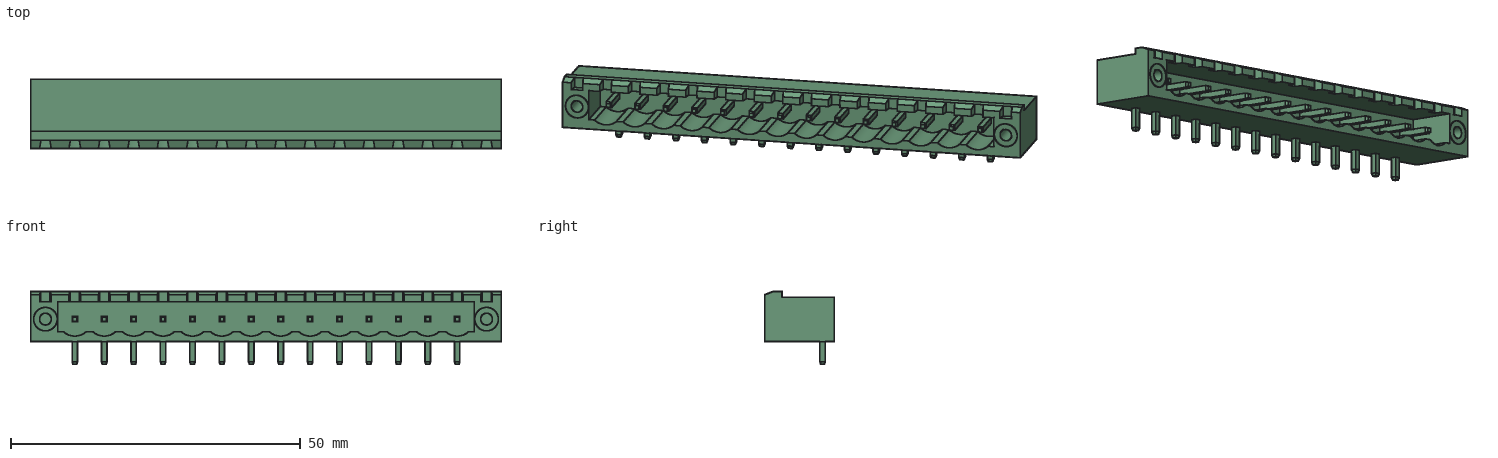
import cadquery as cq

length = 81.3
depth = 12.0
total_height = 12.6
body_height = 8.7
shoulder_height = 7.7
rim_depth = 3.0
rim_bevel_run = 1.5
rim_bevel_drop = 0.6

pin_count = 14
screw_count = 2
position_count = pin_count + screw_count
screw_spacing = 76.2
pitch = screw_spacing / (position_count - 1)
axis_height = 3.9

cavity_length = 71.9
cavity_depth = 8.5
cavity_floor = 1.7
cavity_roof = 6.9
scallop_radius = 2.9

slot_front_width = 2.0
slot_back_width = 1.55

hole_diameter = 2.0
hole_depth = cavity_depth
insert_diameter = 4.1
insert_recess = 0.1

pin_size = 1.0
pin_tip_length = 0.5
pin_tip_size = 0.65
pin_front = 2.0
tail_inset = 2.0
tail_y = depth - tail_inset
tail_length = total_height - body_height


def row_positions(count):
    """X places of a centred row at the connector pitch."""
    return [(i - (count - 1) / 2) * pitch for i in range(count)]


pin_positions = row_positions(pin_count)
slot_positions = row_positions(position_count)
hole_positions = [slot_positions[0], slot_positions[-1]]


def make_housing():
    profile = [
        (0, 0),
        (depth, 0),
        (depth, shoulder_height),
        (rim_depth, shoulder_height),
        (rim_depth, body_height),
        (rim_bevel_run, body_height),
        (0, body_height - rim_bevel_drop),
    ]
    return cq.Workplane("YZ").polyline(profile).close().extrude(length / 2, both=True)


def make_cylinder(x, diameter, cylinder_depth):
    """Cylinder running back from the mating face on the contact axis height."""
    face = cq.Workplane("XZ").center(x, axis_height)
    return face.circle(diameter / 2).extrude(-cylinder_depth)


def make_cavity():
    cavity = cq.Workplane("XY").box(
        cavity_length, cavity_depth, cavity_roof - cavity_floor, centered=(True, False, False)
    ).translate((0, 0, cavity_floor))
    for x in pin_positions:
        cavity = cavity.union(make_cylinder(x, 2 * scallop_radius, cavity_depth))
    return cavity


def make_slot(x):
    """Coding slot through the front rim, narrowing towards the back."""
    outline = [
        (x - slot_front_width / 2, 0),
        (x + slot_front_width / 2, 0),
        (x + slot_back_width / 2, rim_bevel_run),
        (x - slot_back_width / 2, rim_bevel_run),
    ]
    slot = cq.Workplane("XY").workplane(offset=cavity_roof).polyline(outline).close()
    return slot.extrude(body_height - cavity_roof)


def make_bar(plane, bar_length):
    """Square bar along the plane normal, ending in a tapered tip."""
    shank_length = bar_length - pin_tip_length
    shank = cq.Workplane(plane).rect(pin_size, pin_size).extrude(shank_length)
    tip = (
        cq.Workplane(plane)
        .workplane(offset=shank_length)
        .rect(pin_size, pin_size)
        .workplane(offset=pin_tip_length)
        .rect(pin_tip_size, pin_tip_size)
        .loft(ruled=True)
    )
    return shank.union(tip)


def make_pin(x):
    """Right-angle pin: contact towards the mating face, solder tail downwards."""
    corner = cq.Vector(x, tail_y, axis_height)
    contact = make_bar(cq.Plane(corner, xDir=(1, 0, 0), normal=(0, -1, 0)), tail_y - pin_front)
    tail = make_bar(cq.Plane(corner, xDir=(1, 0, 0), normal=(0, 0, -1)), axis_height + tail_length)
    return contact.union(tail)


result = make_housing().cut(make_cavity())
for slot_x in slot_positions:
    result = result.cut(make_slot(slot_x))
for hole_x in hole_positions:
    result = result.cut(make_cylinder(hole_x, insert_diameter, insert_recess))
    result = result.cut(make_cylinder(hole_x, hole_diameter, hole_depth))
for pin_x in pin_positions:
    result = result.union(make_pin(pin_x))